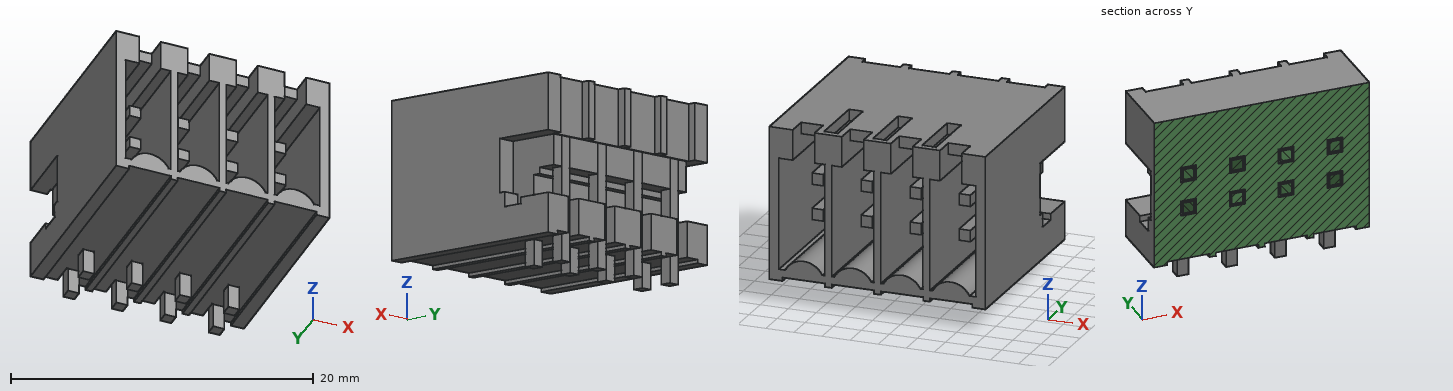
import cadquery as cq
import math


width = 15.4
depth = 14.2
height = 10.8

cell_count = 4
pitch = 3.5
end_wall = 0.7
divider = 0.51
floor_z = 0.8
lintel_z = 8.65
roof = 0.8
back_wall = 0.7

key_width = 1.55
key_opening = 1.52

hump_radius = 1.51
hump_top_z = 1.6

slot_width = 0.99
slot_length = 4.48
slot_start = 0.5
slot_depth = 0.8

foot_height = 0.25
end_foot = 0.94
foot_rib = 0.48

end_rib = 1.2
back_rib = 0.59
notch_depth = 0.57

ledge_z = 2.7
opening_top_z = 6.91
block_inset = 0.71
upper_step_z = 4.84
upper_step_inset = 2.0
lower_step_z = 4.4
lower_step_inset = 2.51

pocket_thickness = 1.3
pocket_inset = 4.4
pocket_floor_z = 2.26
pocket_step_z = 3.26
pocket_step_inset = 3.96

pin_size = 0.8
row_spacing = 2.5
lower_pin_z = 4.03
upper_pin_z = lower_pin_z + row_spacing
pin_tip_y = 2.5
tail_length = 1.51
upper_leg_back_y = depth - block_inset
lower_leg_back_y = upper_leg_back_y - row_spacing
leg_slot_width = 1.0
clearance_size = 1.06
clearance_depth = 0.25

cavity_depth = depth - pocket_inset - back_wall
cell_centers = [(i - (cell_count - 1) / 2) * pitch for i in range(cell_count)]
divider_centers = [(i - (cell_count - 2) / 2) * pitch for i in range(cell_count - 1)]


def block(x_range, y_range, z_range):
    """Box between the given limits along each axis."""
    (x0, x1), (y0, y1), (z0, z1) = x_range, y_range, z_range
    return cq.Workplane("XY").box(x1 - x0, y1 - y0, z1 - z0, centered=False).translate((x0, y0, z0))


def centered(center, size):
    """Limits of a span of the given size about a center."""
    return (center - size / 2, center + size / 2)


def bays(end_margin, rib):
    """X limits of the spaces between two end margins and the ribs on the divider lines."""
    starts = [-width / 2 + end_margin] + [x + rib / 2 for x in divider_centers]
    ends = [x - rib / 2 for x in divider_centers] + [width / 2 - end_margin]
    return list(zip(starts, ends))


def side_prism(points, x_range):
    """Prism along X from an outline of (Y, Z) points."""
    x0, x1 = x_range
    return cq.Workplane("YZ").polyline(points).close().extrude(x1 - x0).translate((x0, 0, 0))


def hump(center):
    """Ridge with an arc top along the cell floor."""
    rise = hump_top_z - floor_z
    half_chord = math.sqrt(hump_radius**2 - (hump_radius - rise) ** 2)
    return (
        cq.Workplane("XZ")
        .moveTo(center - half_chord, floor_z)
        .threePointArc((center, hump_top_z), (center + half_chord, floor_z))
        .close()
        .extrude(-cavity_depth)
    )


def cell_cavity(x_range, center):
    """Open space of one cell with its key channel."""
    cavity = block(x_range, (0, cavity_depth), (floor_z, lintel_z)).cut(hump(center))
    key_range = centered(center, key_width)
    channel = block(key_range, (0, cavity_depth), (lintel_z, height - roof))
    opening = block(key_range, (0, key_opening), (lintel_z, height))
    return cavity.union(channel).union(opening)


def back_opening():
    """Stepped opening across the full width, between the ledge and the pin block."""
    points = [
        (depth, ledge_z),
        (depth, opening_top_z),
        (depth - block_inset, opening_top_z),
        (depth - block_inset, upper_step_z),
        (depth - upper_step_inset, upper_step_z),
        (depth - upper_step_inset, lower_step_z),
        (depth - lower_step_inset, lower_step_z),
        (depth - lower_step_inset, ledge_z),
    ]
    return side_prism(points, (-width / 2, width / 2))


def side_pocket(x_range):
    """Stepped pocket in the outer face of one end wall."""
    points = [
        (depth, ledge_z),
        (depth, opening_top_z),
        (depth - pocket_inset, opening_top_z),
        (depth - pocket_inset, pocket_step_z),
        (depth - pocket_step_inset, pocket_step_z),
        (depth - pocket_step_inset, pocket_floor_z),
        (depth - lower_step_inset, pocket_floor_z),
        (depth - lower_step_inset, ledge_z),
    ]
    return side_prism(points, x_range)


def pin(center, axis_z, leg_back_y):
    """Square right-angle pin with its tail below the housing."""
    bottom_z, top_z = centered(axis_z, pin_size)
    leg_front_y = leg_back_y - pin_size
    points = [
        (pin_tip_y, bottom_z),
        (pin_tip_y, top_z),
        (leg_back_y, top_z),
        (leg_back_y, -tail_length),
        (leg_front_y, -tail_length),
        (leg_front_y, bottom_z),
    ]
    return side_prism(points, centered(center, pin_size))


def pin_clearance(center, axis_z):
    """Square recess around a pin in the back wall of its cell."""
    y_range = (cavity_depth, cavity_depth + clearance_depth)
    return block(centered(center, clearance_size), y_range, centered(axis_z, clearance_size))


def leg_slot(center):
    """Slot in the back ledge, open to the back, for the leg of an upper pin."""
    return block(centered(center, leg_slot_width), (upper_leg_back_y - pin_size, depth), (0, ledge_z))


def build_housing(pins):
    housing = block((-width / 2, width / 2), (0, depth), (0, height))

    for x_range, center in zip(bays(end_wall, divider), cell_centers):
        housing = housing.cut(cell_cavity(x_range, center))

    for center in divider_centers:
        slot_y = (slot_start, slot_start + slot_length)
        housing = housing.cut(block(centered(center, slot_width), slot_y, (height - slot_depth, height)))

    for x_range in bays(end_foot, foot_rib):
        housing = housing.cut(block(x_range, (0, depth), (0, foot_height)))

    for x_range in bays(end_rib, back_rib):
        housing = housing.cut(block(x_range, (depth - notch_depth, depth), (opening_top_z, height)))

    housing = housing.cut(back_opening())
    for outer_range in (
        (-width / 2, -width / 2 + pocket_thickness),
        (width / 2 - pocket_thickness, width / 2),
    ):
        housing = housing.cut(side_pocket(outer_range))

    for center in cell_centers:
        housing = housing.cut(leg_slot(center))
        for axis_z in (lower_pin_z, upper_pin_z):
            housing = housing.cut(pin_clearance(center, axis_z))

    for body in pins:
        housing = housing.cut(body)
    return housing


upper_pins = [pin(center, upper_pin_z, upper_leg_back_y) for center in cell_centers]
lower_pins = [pin(center, lower_pin_z, lower_leg_back_y) for center in cell_centers]
housing = build_housing(upper_pins + lower_pins)

result = cq.Compound.makeCompound(
    [housing.solids().val()]
    + [body.val() for body in upper_pins]
    + [body.val() for body in lower_pins]
)